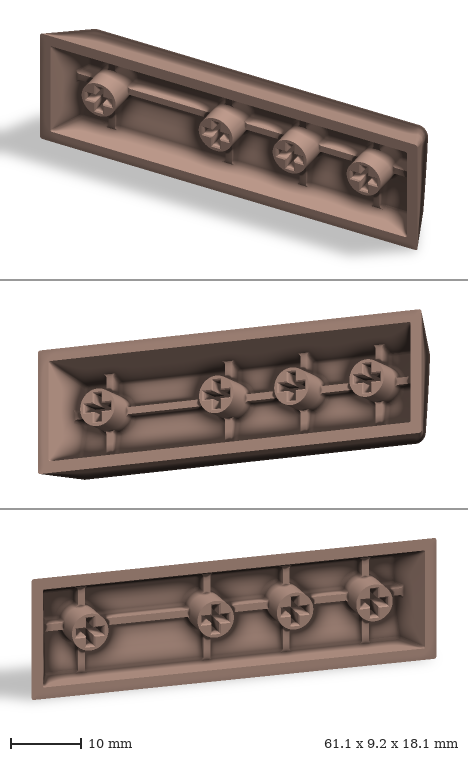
import cadquery as cq

rim_width = 61.05
rim_height = 18.1
rim_corner = 0.35
depth = 9.2
side_wall = 1.7
back_wall = 2.15

back_width = 54.35
back_height = 14.5
back_corner = 1.8
back_y = 9.1
back_z = -1.7
back_tilt = 7.4

crown_radius = 36.65
crown_z = 3.65
back_edge_round = 0.5

cavity_rim_corner = 0.25
cavity_back_corner = 0.55

stem_x_places = (-21.45, -2.5, 9.45, 21.45)
stem_radius = 2.75
stem_tip_y = 0.75
rib_width = 1.05
rib_face_y = 4.65
root_round = 0.5

cross_length = 4.15
cross_slot = 1.15
cross_depth = 3.65
cross_chamfer = 0.2

rim_plane = cq.Plane(origin=(0, 0, 0), xDir=(1, 0, 0), normal=(0, -1, 0))
back_plane = cq.Plane(origin=(0, back_y, back_z), xDir=(1, 0, 0), normal=(0, -1, 0))
back_plane = back_plane.rotated((-back_tilt, 0, 0))
stem_plane = cq.Workplane("XZ", origin=(0, stem_tip_y, 0))
stem_centres = [(x, 0) for x in stem_x_places]


def rounded_section(plane, width, height, inset, corner):
    """Rounded rectangle wire centred on the plane and drawn in by the inset."""
    outline = cq.Workplane(plane).rect(width - 2 * inset, height - 2 * inset).val()
    return outline.fillet2D(corner, outline.Vertices())


def crowned_taper(side_inset, back_inset, rim_radius, back_radius):
    """Tapered block with a convex back, drawn in by the two insets."""
    rim = rounded_section(rim_plane, rim_width, rim_height, side_inset, rim_radius)
    back = rounded_section(back_plane, back_width, back_height, side_inset, back_radius)
    taper = cq.Workplane(cq.Solid.makeLoft([rim, back], True))
    crown = (
        cq.Workplane("YZ")
        .center(depth - crown_radius, crown_z)
        .circle(crown_radius - back_inset)
        .extrude(rim_width, both=True)
    )
    return taper.intersect(crown)


def stems_and_ribs():
    """Posts joined by one long rib, each crossed by an upright rib."""
    rib_plane = cq.Workplane("XZ", origin=(0, rib_face_y, 0))
    long_rib = rib_plane.rect(rim_width, rib_width).extrude(-depth)
    upright_ribs = rib_plane.pushPoints(stem_centres).rect(rib_width, rim_height).extrude(-depth)
    posts = stem_plane.pushPoints(stem_centres).circle(stem_radius).extrude(-depth)
    return long_rib.union(upright_ribs).union(posts)


def cross_sockets():
    """Cross-shaped blind holes with a chamfered mouth."""
    sockets = cq.Workplane()
    for length, height in ((cross_length, cross_slot), (cross_slot, cross_length)):
        slots = stem_plane.pushPoints(stem_centres).rect(length, height).extrude(-cross_depth)
        mouths = (
            stem_plane.pushPoints(stem_centres)
            .rect(length + 2 * cross_chamfer, height + 2 * cross_chamfer)
            .extrude(-cross_chamfer, taper=45)
        )
        sockets = sockets.add(slots.union(mouths))
    return sockets.combine()


def is_root_edge(edge):
    """True where ribs, posts, walls and floor meet, behind the stem tips and rib faces."""
    box = edge.BoundingBox()
    clearance = 0.05
    return box.ymin > stem_tip_y + clearance and box.ymax > rib_face_y + clearance


def cavity():
    """Hollow left around the stems and ribs, with rounded roots."""
    block = crowned_taper(side_wall, back_wall, cavity_rim_corner, cavity_back_corner)
    hollow = block.cut(stems_and_ribs())
    root_edges = [edge for edge in hollow.edges().vals() if is_root_edge(edge)]
    return hollow.newObject(root_edges).fillet(root_round)


shell = crowned_taper(0, 0, rim_corner, back_corner).faces(">Y").edges().fillet(back_edge_round)
result = shell.cut(cavity()).cut(cross_sockets())